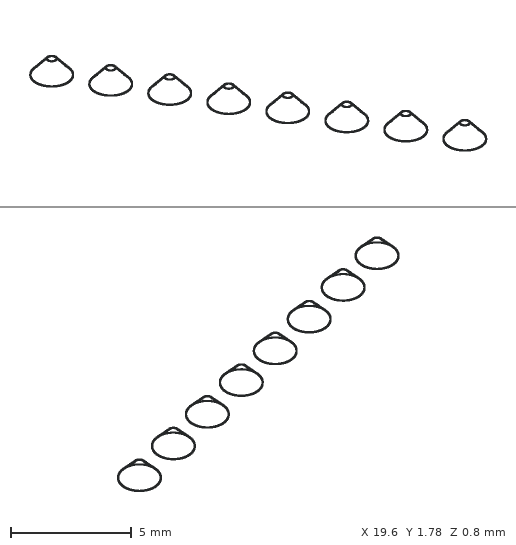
import cadquery as cq

ROW_LENGTH = 19.56
CONE_COUNT = 8

BASE_DIAMETER = 1.78
TIP_DIAMETER = 0.41
CONE_HEIGHT = 0.8

PITCH = (ROW_LENGTH - BASE_DIAMETER) / (CONE_COUNT - 1)


def make_cone(x_center):
    """Truncated cone standing on the XY plane, with its axis along Z."""
    solid = cq.Solid.makeCone(
        BASE_DIAMETER / 2,
        TIP_DIAMETER / 2,
        CONE_HEIGHT,
        pnt=cq.Vector(x_center, 0, 0),
    )
    return cq.Workplane(obj=solid)


first_x = -PITCH * (CONE_COUNT - 1) / 2
cones = [make_cone(first_x + index * PITCH) for index in range(CONE_COUNT)]

result = cq.Compound.makeCompound([cone.val() for cone in cones])